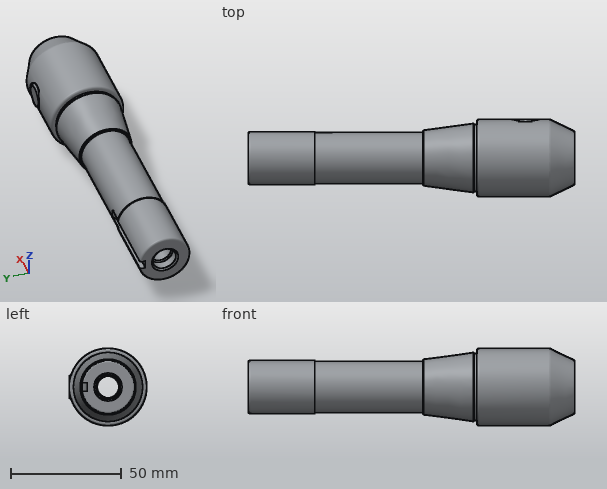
import cadquery as cq
import math

total_length = 147.2

shank_radius = 24.1 / 2
shank_length = 30.0
shank_fillet = 1.0
neck_radius = 23.4 / 2

taper_start = 78.8
taper_start_radius = 25.2 / 2
taper_end = 101.4
taper_end_radius = 31.2 / 2
relief_radius = 30.3 / 2
taper_edge_chamfer = 0.5

head_start = 103.0
head_radius = 35.0 / 2
head_fillet = 1.2
nose_start = 135.9
nose_blend_radius = 1.5
nose_end_radius = 24.1 / 2
nose_fillet = 1.2

bore_radius = 9.7 / 2
counterbore_radius = 11.0 / 2
counterbore_depth = 5.0
mouth_radius = 12.7 / 2

key_width = 4.0
key_floor = 9.4
key_runout_radius = 14.7

screw_x = 125.0
screw_radius = 12.0 / 2
screw_tip_radius = 9.7 / 2
screw_length = 8.8


def make_outer_body():
    """Revolve the outer profile, then round its edges."""
    body = (
        cq.Workplane("XY")
        .moveTo(0, 0)
        .lineTo(0, shank_radius)
        .lineTo(shank_length, shank_radius)
        .lineTo(shank_length, neck_radius)
        .lineTo(taper_start, neck_radius)
        .lineTo(taper_start, taper_start_radius - taper_edge_chamfer)
        .lineTo(taper_start + taper_edge_chamfer, taper_start_radius)
        .lineTo(taper_end, taper_end_radius)
        .lineTo(taper_end + taper_edge_chamfer, relief_radius)
        .lineTo(head_start, relief_radius)
        .lineTo(head_start, head_radius)
        .lineTo(nose_start, head_radius)
        .lineTo(total_length, nose_end_radius)
        .lineTo(total_length, 0)
        .close()
        .revolve(360, (0, 0, 0), (1, 0, 0))
    )
    body = round_edge(body, 0, shank_radius, shank_fillet)
    body = round_edge(body, head_start, head_radius, head_fillet)
    body = round_edge(body, nose_start, head_radius, nose_blend_radius)
    return round_edge(body, total_length, nose_end_radius, nose_fillet)


def round_edge(body, x, radius, fillet_radius):
    """Fillet the circular edge of the given radius at station x."""
    margin = 0.01
    reach = radius + margin
    band = cq.selectors.BoxSelector(
        (x - margin, -reach, -reach), (x + margin, reach, reach), boundingbox=True
    )
    outermost = cq.selectors.RadiusNthSelector(-1)
    return body.newObject(body.edges(band).edges(outermost).vals()).fillet(fillet_radius)


def make_bore():
    """Through bore with a conical-bottomed counterbore and a chamfered mouth at the shank end."""
    step_length = counterbore_radius - bore_radius
    mouth_depth = mouth_radius - counterbore_radius
    return (
        cq.Workplane("XY")
        .moveTo(0, 0)
        .lineTo(0, mouth_radius)
        .lineTo(mouth_depth, counterbore_radius)
        .lineTo(counterbore_depth, counterbore_radius)
        .lineTo(counterbore_depth + step_length, bore_radius)
        .lineTo(total_length, bore_radius)
        .lineTo(total_length, 0)
        .close()
        .revolve(360, (0, 0, 0), (1, 0, 0))
    )


def make_keyway():
    """Slot with a flat floor that runs out along an arc in the neck."""
    rise = shank_radius - key_floor
    runout_length = math.sqrt(2 * key_runout_radius * rise - rise**2)
    runout_end = shank_length + runout_length
    half_angle = math.asin(runout_length / key_runout_radius) / 2
    arc_middle = (
        shank_length + key_runout_radius * math.sin(half_angle),
        key_floor + key_runout_radius * (1 - math.cos(half_angle)),
    )
    return (
        cq.Workplane("XY")
        .moveTo(0, key_floor)
        .lineTo(shank_length, key_floor)
        .threePointArc(arc_middle, (runout_end, shank_radius))
        .lineTo(0, shank_radius)
        .close()
        .extrude(key_width / 2, both=True)
    )


def make_screw_cylinder(bottom, top):
    """Cylinder of the screw diameter along Y."""
    return (
        cq.Workplane("XZ", origin=(screw_x, top, 0))
        .circle(screw_radius)
        .extrude(top - bottom)
    )


def make_holder():
    screw_hole = make_screw_cylinder(head_radius - screw_length, head_radius)
    return make_outer_body().cut(make_bore()).cut(make_keyway()).cut(screw_hole)


def make_set_screw():
    """Set screw flush with the crown of the head, chamfered at its outer end."""
    screw = make_screw_cylinder(head_radius - screw_length, head_radius)
    return screw.faces(">Y").chamfer(screw_radius - screw_tip_radius)


holder = make_holder()
set_screw = make_set_screw()

result = cq.Compound.makeCompound([holder.val(), set_screw.val()])